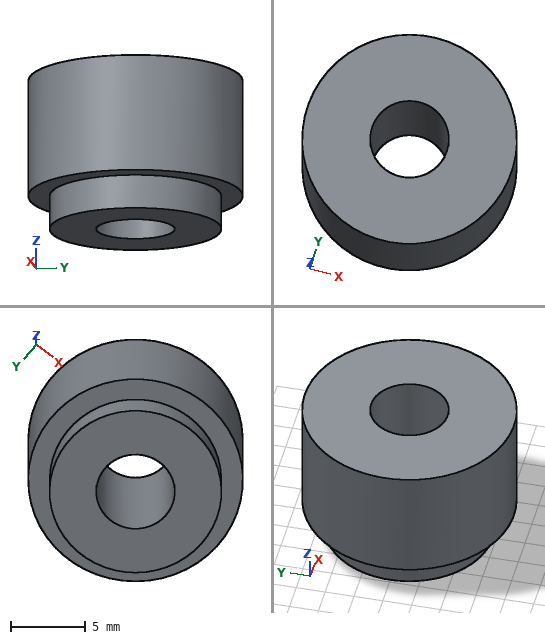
import cadquery as cq

body_diameter = 14.5
spigot_diameter = 11.6
bore_diameter = 5.3
total_height = 10.3
body_height = 8.0
spigot_height = total_height - body_height

spigot = cq.Workplane("XY").circle(spigot_diameter / 2).extrude(spigot_height)
body = (
    cq.Workplane("XY")
    .workplane(offset=spigot_height)
    .circle(body_diameter / 2)
    .extrude(body_height)
)

bore = cq.Workplane("XY").circle(bore_diameter / 2).extrude(total_height)

result = spigot.union(body).cut(bore)